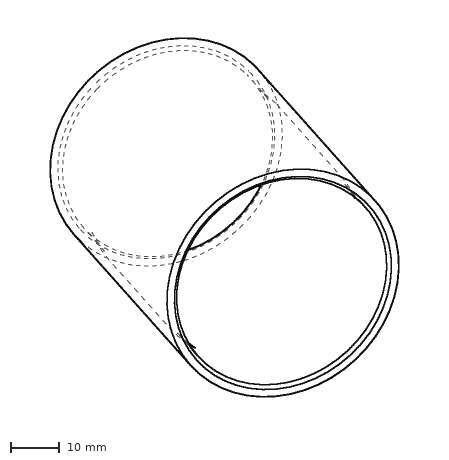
import cadquery as cq

length = 68.99
outer_radius = 25.4
bore_radius = 23.0
mouth_chamfer = 0.75
bore_depth = 13.0
taper_length = 3.5
relief_radius = 23.5

half_length = length / 2
chamfer_x = half_length - mouth_chamfer
taper_start_x = half_length - bore_depth
taper_end_x = taper_start_x - taper_length


def make_tube():
    """Revolve the wall section, symmetric about the middle, around the X axis."""
    right_half = [
        (taper_end_x, relief_radius),
        (taper_start_x, bore_radius),
        (chamfer_x, bore_radius),
        (half_length, bore_radius + mouth_chamfer),
        (half_length, outer_radius),
    ]
    left_half = [(-x, radius) for x, radius in reversed(right_half)]
    section = cq.Workplane("XZ").polyline(right_half + left_half).close()
    return section.revolve(360, (0, 0, 0), (1, 0, 0))


result = make_tube()